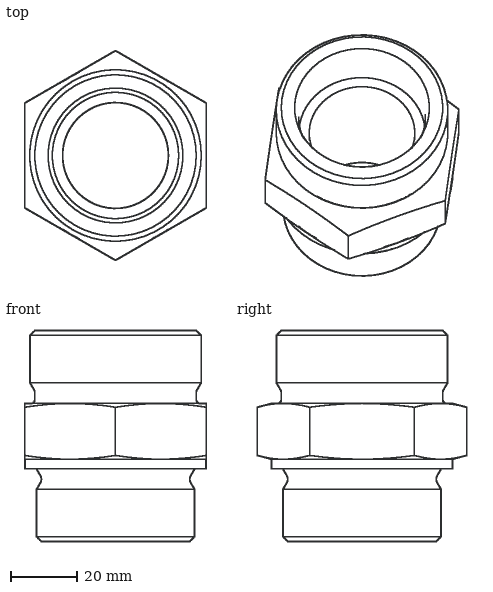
import cadquery as cq
import math

total_height = 64.0
flange_bottom = 22.0
hex_bottom = 24.95
hex_top = 41.85

across_flats = 55.05
flange_radius = 55.0 / 2
hex_chamfer_angle = 15.0

upper_radius = 52.0 / 2
upper_groove_radius = 49.0 / 2
upper_thread_bottom = 48.1
upper_flank_fillet = 1.0
upper_groove_fillet = 1.15

lower_radius = 48.0 / 2
lower_groove_radius = 22.5
lower_thread_top = 15.8

flank_angle = math.radians(30)

end_chamfer = 1.55

bore_radius = 32.0 / 2
socket_radius = 38.3 / 2
mouth_radius = 40.8 / 2
cone_depth = 6.4
socket_depth = 16.0


def make_lower_end():
    groove_middle = (lower_thread_top + flange_bottom) / 2
    flank_apex_radius = lower_radius - (groove_middle - lower_thread_top) * math.tan(flank_angle)
    groove_round = (lower_groove_radius - flank_apex_radius) / (1 / math.cos(flank_angle) - 1)
    round_half_height = groove_round * math.sin(flank_angle)
    flank_end_radius = lower_groove_radius + groove_round * (1 - math.cos(flank_angle))
    return (
        cq.Workplane("XZ")
        .lineTo(lower_radius - end_chamfer, 0)
        .lineTo(lower_radius, end_chamfer)
        .lineTo(lower_radius, lower_thread_top)
        .lineTo(flank_end_radius, groove_middle - round_half_height)
        .threePointArc(
            (lower_groove_radius, groove_middle),
            (flank_end_radius, groove_middle + round_half_height),
        )
        .lineTo(lower_radius, flange_bottom)
        .lineTo(flange_radius, flange_bottom)
        .lineTo(flange_radius, hex_bottom)
        .lineTo(0, hex_bottom)
        .close()
        .revolve(360, (0, 0, 0), (0, 1, 0))
    )


def make_upper_end():
    fillet_center_radius = upper_groove_radius + upper_groove_fillet
    fillet_center_height = hex_top + upper_groove_fillet
    fillet_mid_offset = upper_groove_fillet * math.sqrt(0.5)
    flank_end_radius = upper_groove_radius + upper_flank_fillet * (1 - math.cos(flank_angle))
    flank_end_height = upper_thread_bottom - (upper_radius - flank_end_radius) / math.tan(flank_angle)
    groove_top = flank_end_height - upper_flank_fillet * math.sin(flank_angle)
    return (
        cq.Workplane("XZ")
        .moveTo(0, hex_top)
        .lineTo(fillet_center_radius, hex_top)
        .threePointArc(
            (fillet_center_radius - fillet_mid_offset, fillet_center_height - fillet_mid_offset),
            (upper_groove_radius, fillet_center_height),
        )
        .lineTo(upper_groove_radius, groove_top)
        .tangentArcPoint((flank_end_radius, flank_end_height), relative=False)
        .lineTo(upper_radius, upper_thread_bottom)
        .lineTo(upper_radius, total_height - end_chamfer)
        .lineTo(upper_radius - end_chamfer, total_height)
        .lineTo(0, total_height)
        .close()
        .revolve(360, (0, 0, 0), (0, 1, 0))
    )


def make_hexagon():
    corner_radius = across_flats / 2 / math.cos(math.radians(30))
    corner_drop = (corner_radius - flange_radius) * math.tan(math.radians(hex_chamfer_angle))
    prism = (
        cq.Workplane("XY", origin=(0, 0, hex_bottom))
        .polygon(6, 2 * corner_radius)
        .extrude(hex_top - hex_bottom)
        .rotate((0, 0, 0), (0, 0, 1), 30)
    )
    envelope = (
        cq.Workplane("XZ")
        .moveTo(0, hex_bottom)
        .lineTo(flange_radius, hex_bottom)
        .lineTo(corner_radius, hex_bottom + corner_drop)
        .lineTo(corner_radius, hex_top - corner_drop)
        .lineTo(flange_radius, hex_top)
        .lineTo(0, hex_top)
        .close()
        .revolve(360, (0, 0, 0), (0, 1, 0))
    )
    return prism.intersect(envelope)


def make_bore():
    return (
        cq.Workplane("XZ")
        .lineTo(bore_radius, 0)
        .lineTo(bore_radius, total_height - socket_depth)
        .lineTo(socket_radius, total_height - socket_depth)
        .lineTo(socket_radius, total_height - cone_depth)
        .lineTo(mouth_radius, total_height)
        .lineTo(0, total_height)
        .close()
        .revolve(360, (0, 0, 0), (0, 1, 0))
    )


result = make_lower_end().union(make_hexagon()).union(make_upper_end()).cut(make_bore())